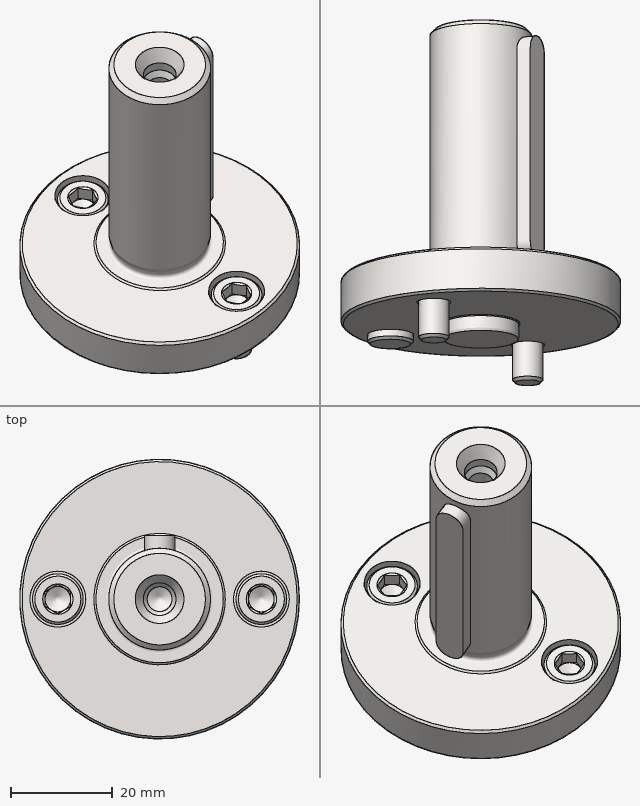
import cadquery as cq
import math

TOTAL_HEIGHT = 66.9

FLANGE_D = 55.0
FLANGE_BOTTOM_Z = 7.6
FLANGE_TOP_Z = 16.5
FLANGE_CHAMFER = 0.5

SHAFT_D = 20.0
SHAFT_LENGTH = 50.05
SHAFT_CHAMFER = 1.0
SHOULDER_Z = TOTAL_HEIGHT - SHAFT_LENGTH
BOSS_D = 25.0
BOSS_FLARE = 0.4

UNDERCUT_D = 19.4
UNDERCUT_FILLET = 0.8
UNDERCUT_TAPER_START_Z = 18.25
UNDERCUT_TAPER_ANGLE = 15.0

CENTRE_MOUTH_D = 9.6
CENTRE_RECESS_D = 6.4
CENTRE_MOUTH_DEPTH = 2.8
CENTRE_RECESS_DEPTH = 4.8
CENTRE_STEP_ANGLE = 60.0
CENTRE_DRILL_D = 4.9
CENTRE_DRILL_DEPTH = 21.0
DRILL_POINT_ANGLE = 120.0

SPIGOT_D = 15.0
SPIGOT_BOTTOM_Z = 4.5
SPIGOT_LEAD_IN = 0.15
SPIGOT_LEAD_IN_HEIGHT = 0.5
SPIGOT_ROOT_FLARE = 0.2

STUD_D = 9.0
STUD_BOTTOM_Z = 5.75
STUD_CHAMFER = 0.55
STUD_SLIT_WIDTH = 0.2
STUD_SLIT_DEPTH = 0.7

BOLT_CIRCLE_R = 20.0

SCREW_SHANK_D = 6.0
SCREW_TIP_D = 4.9
SCREW_TIP_HEIGHT = 0.6
SCREW_LENGTH = 10.0
SCREW_HEAD_D = 10.0
SCREW_HEAD_TOP_D = 9.0
SCREW_HEAD_CHAMFER_HEIGHT = 0.5
SCREW_HEAD_HEIGHT = 6.0
SOCKET_WIDTH = 5.0
SOCKET_DEPTH = 3.0
HEX_HALF_ANGLE = 30.0
SOCKET_MOUTH_D = 5.95
SCREW_HOLE_D = 6.6
COUNTERBORE_D = 11.0

KEY_WIDTH = 6.0
KEY_LENGTH = 45.0
KEY_INNER_Y = 6.5
KEY_OUTER_Y = 12.5
KEY_END_GAP = 2.5


def drill_point_height(diameter):
    """Height of the conical point left by a drill of the given diameter."""
    return diameter / 2 / math.tan(math.radians(DRILL_POINT_ANGLE / 2))


def make_key():
    centre_z = TOTAL_HEIGHT - KEY_END_GAP - KEY_LENGTH / 2
    return (
        cq.Workplane("XZ", origin=(0, KEY_OUTER_Y, centre_z))
        .slot2D(KEY_LENGTH, KEY_WIDTH, 90)
        .extrude(KEY_OUTER_Y - KEY_INNER_Y)
    )


def make_screw():
    shank_r = SCREW_SHANK_D / 2
    head_r = SCREW_HEAD_D / 2
    top_z = SCREW_LENGTH + SCREW_HEAD_HEIGHT
    body = (
        cq.Workplane("XZ")
        .polyline([
            (0, 0),
            (SCREW_TIP_D / 2, 0),
            (shank_r, SCREW_TIP_HEIGHT),
            (shank_r, SCREW_LENGTH),
            (head_r, SCREW_LENGTH),
            (head_r, top_z - SCREW_HEAD_CHAMFER_HEIGHT),
            (SCREW_HEAD_TOP_D / 2, top_z),
            (0, top_z),
        ])
        .close()
        .revolve(360, (0, 0, 0), (0, 1, 0))
    )
    corner_d = SOCKET_WIDTH / math.cos(math.radians(HEX_HALF_ANGLE))
    hexagon = (
        cq.Workplane("XY", origin=(0, 0, top_z - SOCKET_DEPTH))
        .transformed(rotate=(0, 0, HEX_HALF_ANGLE))
        .polygon(6, corner_d)
        .extrude(SOCKET_DEPTH)
    )
    floor = cq.Solid.makeCone(
        SOCKET_WIDTH / 2, 0, drill_point_height(SOCKET_WIDTH),
        cq.Vector(0, 0, top_z - SOCKET_DEPTH), cq.Vector(0, 0, -1),
    )
    mouth = cq.Solid.makeCone(
        SOCKET_MOUTH_D / 2, 0, drill_point_height(SOCKET_MOUTH_D),
        cq.Vector(0, 0, top_z), cq.Vector(0, 0, -1),
    )
    return body.cut(hexagon).cut(floor).cut(mouth)


def make_turned_blank():
    """Spigot, flange, boss, undercut and shaft as one turned outline."""
    flange_r = FLANGE_D / 2
    shaft_r = SHAFT_D / 2
    neck_r = UNDERCUT_D / 2
    spigot_r = SPIGOT_D / 2
    taper_height = (shaft_r - neck_r) / math.tan(math.radians(UNDERCUT_TAPER_ANGLE))
    arc_offset = UNDERCUT_FILLET * (1 - math.sqrt(0.5))
    return (
        cq.Workplane("XZ")
        .moveTo(0, SPIGOT_BOTTOM_Z)
        .lineTo(spigot_r - SPIGOT_LEAD_IN, SPIGOT_BOTTOM_Z)
        .lineTo(spigot_r, SPIGOT_BOTTOM_Z + SPIGOT_LEAD_IN_HEIGHT)
        .lineTo(spigot_r, FLANGE_BOTTOM_Z - SPIGOT_ROOT_FLARE)
        .lineTo(spigot_r + SPIGOT_ROOT_FLARE, FLANGE_BOTTOM_Z)
        .lineTo(flange_r - FLANGE_CHAMFER, FLANGE_BOTTOM_Z)
        .lineTo(flange_r, FLANGE_BOTTOM_Z + FLANGE_CHAMFER)
        .lineTo(flange_r, FLANGE_TOP_Z - FLANGE_CHAMFER)
        .lineTo(flange_r - FLANGE_CHAMFER, FLANGE_TOP_Z)
        .lineTo(BOSS_D / 2 + BOSS_FLARE, FLANGE_TOP_Z)
        .lineTo(BOSS_D / 2, SHOULDER_Z)
        .lineTo(neck_r + UNDERCUT_FILLET, SHOULDER_Z)
        .threePointArc(
            (neck_r + arc_offset, SHOULDER_Z + arc_offset),
            (neck_r, SHOULDER_Z + UNDERCUT_FILLET),
        )
        .lineTo(neck_r, UNDERCUT_TAPER_START_Z)
        .lineTo(shaft_r, UNDERCUT_TAPER_START_Z + taper_height)
        .lineTo(shaft_r, TOTAL_HEIGHT - SHAFT_CHAMFER)
        .lineTo(shaft_r - SHAFT_CHAMFER, TOTAL_HEIGHT)
        .lineTo(0, TOTAL_HEIGHT)
        .close()
        .revolve(360, (0, 0, 0), (0, 1, 0))
    )


def make_centre_hole():
    """Stepped centre hole with a conical mouth, a conical step and a drill point."""
    mouth_r = CENTRE_MOUTH_D / 2
    recess_r = CENTRE_RECESS_D / 2
    drill_r = CENTRE_DRILL_D / 2
    mouth_z = TOTAL_HEIGHT - CENTRE_MOUTH_DEPTH
    recess_z = TOTAL_HEIGHT - CENTRE_RECESS_DEPTH
    step_height = (recess_r - drill_r) / math.tan(math.radians(CENTRE_STEP_ANGLE / 2))
    drill_z = TOTAL_HEIGHT - CENTRE_DRILL_DEPTH
    return (
        cq.Workplane("XZ")
        .moveTo(0, TOTAL_HEIGHT)
        .lineTo(mouth_r, TOTAL_HEIGHT)
        .lineTo(recess_r, mouth_z)
        .lineTo(recess_r, recess_z)
        .lineTo(drill_r, recess_z - step_height)
        .lineTo(drill_r, drill_z)
        .lineTo(0, drill_z - drill_point_height(CENTRE_DRILL_D))
        .close()
        .revolve(360, (0, 0, 0), (0, 1, 0))
    )


def make_screw_hole():
    """Clearance hole and counterbore, seated under the screw head."""
    clearance = cq.Workplane("XY").circle(SCREW_HOLE_D / 2).extrude(FLANGE_TOP_Z)
    counterbore = (
        cq.Workplane("XY", origin=(0, 0, SCREW_LENGTH))
        .circle(COUNTERBORE_D / 2)
        .extrude(FLANGE_TOP_Z - SCREW_LENGTH)
    )
    return clearance.union(counterbore)


def make_stud():
    """Short stud under the flange with a fine slit down its -X side."""
    height = FLANGE_BOTTOM_Z - STUD_BOTTOM_Z
    stud = (
        cq.Workplane("XY", origin=(0, -BOLT_CIRCLE_R, STUD_BOTTOM_Z))
        .circle(STUD_D / 2)
        .extrude(height)
        .faces("<Z")
        .chamfer(STUD_CHAMFER)
    )
    slit = cq.Workplane("XY", origin=(-STUD_D / 2, -BOLT_CIRCLE_R, STUD_BOTTOM_Z)).box(
        2 * STUD_SLIT_DEPTH, STUD_SLIT_WIDTH, height, centered=(True, True, False)
    )
    return stud.cut(slit)


screw_places = [(side * BOLT_CIRCLE_R, 0, 0) for side in (-1, 1)]

key = make_key()
flanged_shaft = make_turned_blank().union(make_stud()).cut(make_centre_hole()).cut(key)
screws = []
for place in screw_places:
    flanged_shaft = flanged_shaft.cut(make_screw_hole().translate(place))
    screws.append(make_screw().translate(place).val())

result = cq.Compound.makeCompound([flanged_shaft.val(), key.val(), *screws])